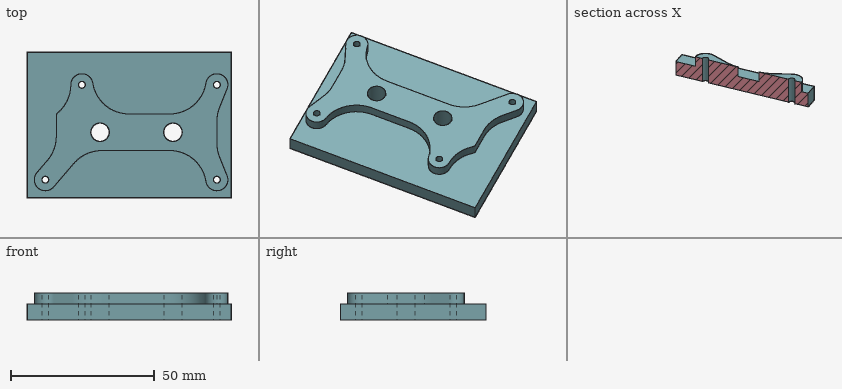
import cadquery as cq
import math

plate_length = 71.1
plate_width = 50.8
plate_height = 5.7

bracket_height = 3.85
total_height = plate_height + bracket_height
bar_bottom = 16.5
bar_top = 29.2
bar_middle = (bar_bottom + bar_top) / 2
bracket_left = 10.2
bracket_right = 66.1
pad_radius = 3.85
waist_radius = 12.7
corner_radius = 1.3
left_waist_x = 25.95
left_waist_y = 21.4
right_edge_length = 7.6

lower_pad_y = 6.3
upper_pad_y = 39.4
lower_left_pad = (6.3, lower_pad_y)
upper_left_pad = (19.05, upper_pad_y)
lower_right_pad = (bracket_right, lower_pad_y)
upper_right_pad = (bracket_right, upper_pad_y)
pads = [lower_left_pad, lower_right_pad, upper_right_pad, upper_left_pad]

pad_hole_diameter = 2.3
bar_hole_diameter = 6.3
bar_hole_x = (25.4, 50.8)


def other_leg(hypotenuse, leg):
    """Length of the second leg of a right triangle."""
    return math.sqrt(hypotenuse**2 - leg**2)


def waist_beside_pad(pad, waist_y, side):
    """Centre of a waist arc that touches a pad; side is +1 to its right, -1 to its left."""
    offset = other_leg(pad_radius + waist_radius, waist_y - pad[1])
    return (pad[0] + side * offset, waist_y)


def tangent_normal(start, end):
    """Angle of the outward normal of the line tangent to two directed circles."""
    (start_x, start_y), start_radius = start
    (end_x, end_y), end_radius = end
    dx = end_x - start_x
    dy = end_y - start_y
    ratio = (start_radius - end_radius) / math.hypot(dx, dy)
    return math.atan2(dy, dx) - math.acos(max(-1.0, min(1.0, ratio)))


def point_on(circle, normal):
    """Point of a directed circle where the outward normal has the given angle."""
    (x, y), radius = circle
    return (x + radius * math.cos(normal), y + radius * math.sin(normal))


def tangent_outline(circles):
    """Closed sketch of arcs joined by tangent lines; a negative radius bends inwards."""
    count = len(circles)
    normals = [tangent_normal(circles[i], circles[(i + 1) % count]) for i in range(count)]
    start = point_on(circles[0], normals[-1])
    sketch = cq.Workplane("XY").workplane(offset=plate_height).moveTo(*start)
    position = start
    for i, circle in enumerate(circles):
        entry = normals[i - 1]
        direction = math.copysign(1.0, circle[1])
        turn = direction * ((direction * (normals[i] - entry)) % (2 * math.pi))
        arc_start = point_on(circle, entry)
        if math.dist(position, arc_start) > 0.0001:
            sketch = sketch.lineTo(*arc_start)
        position = point_on(circle, entry + turn)
        sketch = sketch.threePointArc(point_on(circle, entry + turn / 2), position)
    return sketch.close()


def make_bracket():
    lower_waist_y = bar_bottom - waist_radius
    upper_waist_y = bar_top + waist_radius
    right_waist_x = bracket_right + waist_radius
    upper_left_waist = (upper_left_pad[0] - pad_radius - waist_radius, upper_left_pad[1])
    corner_x = bracket_left + corner_radius
    corner_drop = other_leg(waist_radius + corner_radius, corner_x - upper_left_waist[0])
    corner = (corner_x, upper_left_waist[1] - corner_drop)

    return tangent_outline([
        (lower_left_pad, pad_radius),
        ((left_waist_x, lower_waist_y), -waist_radius),
        (waist_beside_pad(lower_right_pad, lower_waist_y, -1), -waist_radius),
        (lower_right_pad, pad_radius),
        ((right_waist_x, bar_middle - right_edge_length / 2), -waist_radius),
        ((right_waist_x, bar_middle + right_edge_length / 2), -waist_radius),
        (upper_right_pad, pad_radius),
        (waist_beside_pad(upper_right_pad, upper_waist_y, -1), -waist_radius),
        (waist_beside_pad(upper_left_pad, upper_waist_y, 1), -waist_radius),
        (upper_left_pad, pad_radius),
        (upper_left_waist, -waist_radius),
        (corner, corner_radius),
        ((bracket_left - waist_radius, left_waist_y), -waist_radius),
    ]).extrude(bracket_height)


def make_holes(centres, diameter):
    """Cylinders that pass through the plate and the bracket."""
    return cq.Workplane("XY").pushPoints(centres).circle(diameter / 2).extrude(total_height)


plate = cq.Workplane("XY").box(plate_length, plate_width, plate_height, centered=False)
pad_holes = make_holes(pads, pad_hole_diameter)
bar_holes = make_holes([(x, bar_middle) for x in bar_hole_x], bar_hole_diameter)

result = plate.union(make_bracket()).cut(pad_holes).cut(bar_holes)